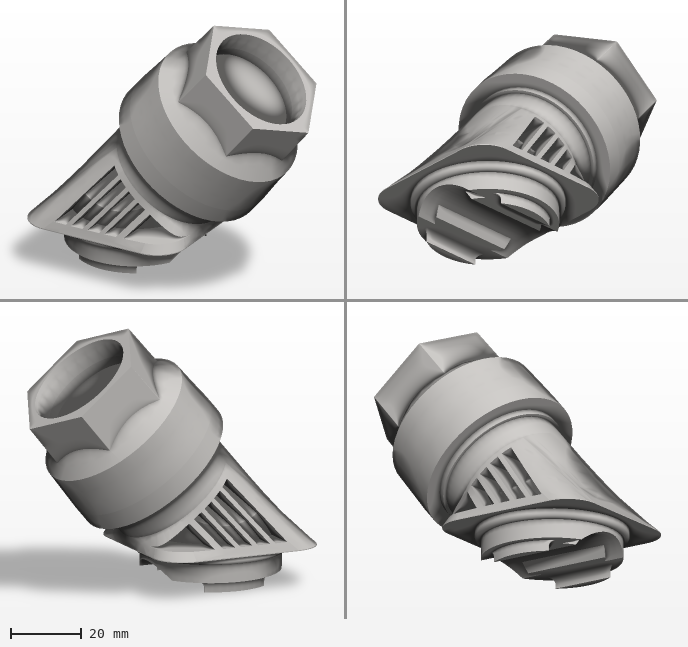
import cadquery as cq
import math

tilt = 40.0
pivot_height = 1.5
end_height = 64.5
hex_flats = 35.2
hex_draft = 1.0
bore_mouth_radius = 15.3
bore_radius = 14.6
bore_taper_depth = 6.15
bore_depth = 9.1

collar_radius = 24.3
collar_top_radius = 23.7
collar_bottom = 28.1
collar_taper_start = 33.9
collar_shoulder = 47.5
ring_radius = 20.0
ring_bottom = 26.25
neck_radius = 18.95
neck_bottom = 18.95

foot_length = 50.4
foot_width = 48.6
foot_left = -25.0
foot_corner = 9.1
foot_thickness = 0.25
hood_corner_angles = (42.0, 66.0)

slot_width = 2.9
slot_starts = (-10.6, -6.4, -2.2, 2.0)
gusset_window_start = 6.7
gusset_window_end = 19.7
window_top = 17.0
window_sill = 2.8
web_half_thickness = 6.8
core_radius = 18.45
core_roof_half_width = 28.05
core_roof_height = 24.1
core_roof_lean = 12.0

seal_radius = 22.0
seal_height = 2.6
seal_fillet = 1.2
base_radius = 20.2
base_bottom = -8.1
arch_crown = -4.1
arch_half_span = 10.3
channel_half_width = 7.2
channel_top_half_width = 4.8
plug_radius = 15.1

lug_bottom = -11.3
lug_half_width = 9.4
lug_outer_radius = 18.0
lug_inner_face = 15.2
lug_flare = 1.8

lean = math.radians(tilt)
tilted_frame = cq.Plane(
    origin=(0, 0, pivot_height),
    xDir=(math.cos(lean), 0, -math.sin(lean)),
    normal=(math.sin(lean), 0, math.cos(lean)),
)
axial_section = cq.Plane(tilted_frame.origin, tilted_frame.xDir, -tilted_frame.yDir)


def tilted_plane(height):
    """Workplane square to the tilted axis, at a height along it."""
    return cq.Workplane(tilted_frame).workplane(offset=height)


def upright_cylinder(radius, bottom, top):
    return cq.Workplane("XY").workplane(offset=bottom).circle(radius).extrude(top - bottom)


def make_outlet():
    """Neck, ring and collar revolved about the tilted axis, with the hexagon and its bore."""
    hex_corner_radius = hex_flats / math.sqrt(3)
    shoulder_rise = collar_top_radius - hex_flats / 2
    stepped_body = (
        cq.Workplane(axial_section)
        .moveTo(0, neck_bottom)
        .lineTo(neck_radius, neck_bottom)
        .lineTo(neck_radius, ring_bottom)
        .lineTo(ring_radius, ring_bottom)
        .lineTo(ring_radius, collar_bottom)
        .lineTo(collar_radius, collar_bottom)
        .lineTo(collar_radius, collar_taper_start)
        .lineTo(collar_top_radius, collar_shoulder)
        .lineTo(hex_flats / 2, collar_shoulder + shoulder_rise)
        .lineTo(0, collar_shoulder + shoulder_rise)
        .close()
        .revolve(360, (0, 0, 0), (0, 1, 0))
    )
    hexagon = (
        tilted_plane(end_height)
        .polygon(6, 2 * hex_corner_radius)
        .extrude(collar_shoulder - end_height, taper=-hex_draft)
    )
    bore = (
        cq.Workplane(axial_section)
        .moveTo(0, end_height)
        .lineTo(bore_mouth_radius, end_height)
        .lineTo(bore_radius, end_height - bore_taper_depth)
        .lineTo(bore_radius, end_height - bore_depth)
        .lineTo(0, end_height - bore_depth)
        .close()
        .revolve(360, (0, 0, 0), (0, 1, 0))
    )
    return stepped_body.union(hexagon).cut(bore)


def foot_edges():
    """Rounded rectangle, counter-clockwise from the +X side: a straight side, then a corner, four times."""
    middle = foot_left + foot_length / 2
    half_x = foot_length / 2
    half_y = foot_width / 2
    run_x = half_x - foot_corner
    run_y = half_y - foot_corner
    bulge = foot_corner * math.sqrt(0.5)

    def point(x, y):
        return cq.Vector(middle + x, y, foot_thickness)

    starts = [
        point(half_x, -run_y), point(half_x, run_y),
        point(run_x, half_y), point(-run_x, half_y),
        point(-half_x, run_y), point(-half_x, -run_y),
        point(-run_x, -half_y), point(run_x, -half_y),
    ]
    corner_signs = [(1, 1), (-1, 1), (-1, -1), (1, -1)]
    edges = []
    for side, (sign_x, sign_y) in enumerate(corner_signs):
        start, turn, finish = (starts[(2 * side + step) % 8] for step in range(3))
        corner_middle = point(sign_x * (run_x + bulge), sign_y * (run_y + bulge))
        edges.append(cq.Edge.makeLine(start, turn))
        edges.append(cq.Edge.makeThreePointArc(turn, corner_middle, finish))
    return edges


def neck_edges():
    """Neck circle split into eight arcs that pair with the edges of the foot."""
    near, far = hood_corner_angles
    angles = [-near, near, far, 180 - far, 180 - near, 180 + near, 180 + far, 360 - far, 360 - near]

    def point(angle):
        turn = math.radians(angle)
        local = (neck_radius * math.cos(turn), neck_radius * math.sin(turn), neck_bottom)
        return tilted_frame.toWorldCoords(local)

    return [
        cq.Edge.makeThreePointArc(point(start), point((start + finish) / 2), point(finish))
        for start, finish in zip(angles, angles[1:])
    ]


def make_hood():
    """Ruled transition from the rectangular foot to the round neck."""
    foot = cq.Wire.assembleEdges(foot_edges())
    neck = cq.Wire.assembleEdges(neck_edges())
    return cq.Workplane(cq.Solid.makeLoft([foot, neck], True))


def make_core():
    """Round core and flat web behind the windows, under two flat roof slopes leaning towards +X."""
    roof = (
        cq.Workplane("YZ")
        .moveTo(-core_roof_half_width, -foot_length)
        .lineTo(core_roof_half_width, -foot_length)
        .lineTo(core_roof_half_width, 0)
        .lineTo(0, core_roof_height)
        .lineTo(-core_roof_half_width, 0)
        .close()
        .extrude(foot_length, both=True)
        .rotate((0, 0, 0), (0, 1, 0), core_roof_lean)
    )
    web = cq.Workplane("XY").box(2 * foot_length, 2 * web_half_thickness, 4 * core_roof_height)
    return upright_cylinder(core_radius, 0, 2 * core_roof_height).union(web).intersect(roof)


def make_windows():
    """Space of the louvre windows, on both sides of the core."""
    reach = foot_width
    spans = [(start, start + slot_width) for start in slot_starts]
    spans.append((gusset_window_start, gusset_window_end))
    bars = cq.Workplane("XY")
    for start, finish in spans:
        bar = (
            tilted_plane(window_top)
            .center((start + finish) / 2, 0)
            .rect(finish - start, foot_width)
            .extrude(-reach)
        )
        bars = bars.union(bar)
    above_sill = cq.Workplane("XY").workplane(offset=window_sill).rect(2 * reach, foot_width).extrude(reach)
    return bars.intersect(above_sill).cut(make_core())


def make_foot():
    return (
        cq.Workplane("XY")
        .center(foot_left + foot_length / 2, 0)
        .rect(foot_length, foot_width)
        .extrude(foot_thickness)
        .edges("|Z")
        .fillet(foot_corner)
    )


def make_base():
    """Seal flange and round base, with an arched passage along X."""
    seal = upright_cylinder(seal_radius, -seal_height, 0).faces("<Z").edges().fillet(seal_fillet)
    drum = upright_cylinder(base_radius, base_bottom, 0)
    arch = (
        cq.Workplane("YZ")
        .moveTo(-arch_half_span, base_bottom)
        .threePointArc((0, arch_crown), (arch_half_span, base_bottom))
        .close()
        .extrude(base_radius, both=True)
    )
    plug = upright_cylinder(plug_radius, base_bottom, 0)
    channel = (
        cq.Workplane("YZ")
        .moveTo(-channel_half_width, base_bottom)
        .lineTo(channel_half_width, base_bottom)
        .lineTo(channel_top_half_width, arch_crown)
        .lineTo(-channel_top_half_width, arch_crown)
        .close()
        .extrude(base_radius, both=True)
    )
    return seal.union(drum).cut(arch.cut(plug.cut(channel)))


def make_lugs():
    """Two lugs with a round outside and a flat inside, flared into the underside of the base."""
    flare_bottom = base_bottom - lug_flare
    flare_run = lug_flare * (1 - math.sqrt(0.5))
    flare_middle = flare_bottom + lug_flare * math.sqrt(0.5)
    gap = (
        cq.Workplane("YZ")
        .moveTo(-lug_inner_face, lug_bottom)
        .lineTo(lug_inner_face, lug_bottom)
        .lineTo(lug_inner_face, flare_bottom)
        .threePointArc(
            (lug_inner_face - flare_run, flare_middle),
            (lug_inner_face - lug_flare, base_bottom),
        )
        .lineTo(lug_flare - lug_inner_face, base_bottom)
        .threePointArc((flare_run - lug_inner_face, flare_middle), (-lug_inner_face, flare_bottom))
        .close()
        .extrude(base_radius, both=True)
    )
    outline = (
        cq.Workplane("XZ")
        .moveTo(-lug_half_width, lug_bottom)
        .lineTo(lug_half_width, lug_bottom)
        .lineTo(lug_half_width, flare_bottom)
        .threePointArc(
            (lug_half_width + flare_run, flare_middle),
            (lug_half_width + lug_flare, base_bottom),
        )
        .lineTo(-lug_half_width - lug_flare, base_bottom)
        .threePointArc((-lug_half_width - flare_run, flare_middle), (-lug_half_width, flare_bottom))
        .close()
        .extrude(base_radius, both=True)
    )
    return upright_cylinder(lug_outer_radius, lug_bottom, base_bottom).intersect(outline).cut(gap)


hood = make_hood().cut(make_windows())
result = hood.union(make_outlet()).union(make_foot()).union(make_base()).union(make_lugs())